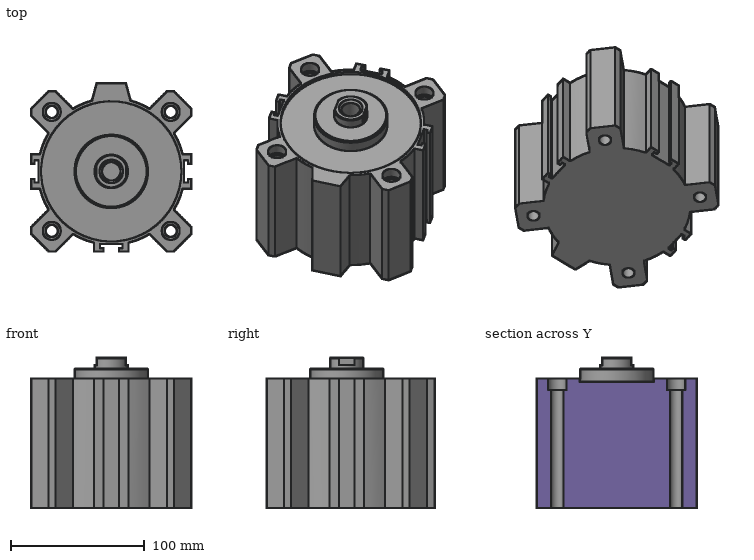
import cadquery as cq
import math

housing_height = 97.0
half_width = 60.0
barrel_radius = 55.0
recess_diameter = 105.0
recess_depth = 2.5

lug_width = 25.8
lug_reach = 75.5
bolt_spacing = 89.0
bolt_diameter = 9.0
counterbore_diameter = 13.5
counterbore_depth = 8.5

rail_width = 26.0
slot_mouth_width = 11.4
slot_inner_width = 16.5
slot_floor_radius = 54.5
lip_thickness = 2.6
rail_angles = (0, 180, 270)

block_reach = 66.0
block_top_width = 22.0
block_flank_angle = 15.0
block_root_overlap = 5.0

collar_diameter = 55.0
collar_height = 7.5
collar_chamfer = 1.0
collar_top = housing_height + collar_height

rod_diameter = 25.0
rod_top = 112.5
rod_bottom = 10.0
rod_chamfer = 0.5
flat_width = 22.0
flat_height = 5.5
thread_diameter = 13.84
thread_mouth_diameter = 17.5
thread_depth = 32.0
thread_chamfer = (thread_mouth_diameter - thread_diameter) / 2


def make_lugs():
    """Crossed diagonal bars, trimmed to the square outline of the housing."""
    square = cq.Workplane("XY").rect(2 * half_width, 2 * half_width).extrude(housing_height)
    bar = cq.Workplane("XY").rect(2 * lug_reach, lug_width).extrude(housing_height)
    axis_ends = ((0, 0, 0), (0, 0, 1))
    bars = bar.rotate(*axis_ends, 45).union(bar.rotate(*axis_ends, -45))
    return bars.intersect(square)


def make_rail_block():
    """Plain rail along +X, from the housing axis outwards."""
    return (
        cq.Workplane("XY")
        .rect(half_width, rail_width)
        .extrude(housing_height)
        .translate((half_width / 2, 0, 0))
    )


def make_rail_slot():
    """T-slot cutter along +X: a narrow mouth that opens into a wider channel."""
    lip_radius = half_width - lip_thickness
    mouth_half = slot_mouth_width / 2
    inner_half = slot_inner_width / 2
    return (
        cq.Workplane("XY")
        .moveTo(slot_floor_radius, -inner_half)
        .lineTo(lip_radius, -inner_half)
        .lineTo(lip_radius, -mouth_half)
        .lineTo(half_width, -mouth_half)
        .lineTo(half_width, mouth_half)
        .lineTo(lip_radius, mouth_half)
        .lineTo(lip_radius, inner_half)
        .lineTo(slot_floor_radius, inner_half)
        .close()
        .extrude(housing_height)
    )


def make_tapered_block():
    """Block on +Y that narrows outwards; its root lies inside the barrel."""
    top_half = block_top_width / 2
    root_y = barrel_radius - block_root_overlap
    root_half = top_half + (block_reach - root_y) * math.tan(math.radians(block_flank_angle))
    return (
        cq.Workplane("XY")
        .polyline([
            (-root_half, root_y),
            (root_half, root_y),
            (top_half, block_reach),
            (-top_half, block_reach),
        ])
        .close()
        .extrude(housing_height)
    )


def make_collar():
    """Collar that rises from the recess floor."""
    recess_floor = housing_height - recess_depth
    return (
        cq.Workplane("XY", origin=(0, 0, recess_floor))
        .circle(collar_diameter / 2)
        .extrude(collar_top - recess_floor)
        .faces(">Z")
        .chamfer(collar_chamfer)
    )


def make_housing():
    """Barrel with all its outer features, the bolt holes, the recess, the collar and the rod bore."""
    body = cq.Workplane("XY").circle(barrel_radius).extrude(housing_height)
    body = body.union(make_lugs()).union(make_tapered_block())
    rail = make_rail_block()
    slot = make_rail_slot()
    for angle in rail_angles:
        body = body.union(rail.rotate((0, 0, 0), (0, 0, 1), angle))
        body = body.cut(slot.rotate((0, 0, 0), (0, 0, 1), angle))
    body = (
        body.faces(">Z")
        .workplane(origin=(0, 0, housing_height))
        .rect(bolt_spacing, bolt_spacing, forConstruction=True)
        .vertices()
        .cboreHole(bolt_diameter, counterbore_diameter, counterbore_depth)
    )
    recess = (
        cq.Workplane("XY", origin=(0, 0, housing_height))
        .circle(recess_diameter / 2)
        .extrude(-recess_depth)
    )
    rod_bore = (
        cq.Workplane("XY", origin=(0, 0, rod_bottom))
        .circle(rod_diameter / 2)
        .extrude(collar_top - rod_bottom)
    )
    return body.cut(recess).union(make_collar()).cut(rod_bore)


def make_rod():
    """Rod with two wrench flats facing +X and -X and a blind threaded hole in its end."""
    rod = (
        cq.Workplane("XY", origin=(0, 0, rod_bottom))
        .circle(rod_diameter / 2)
        .extrude(rod_top - rod_bottom)
        .faces(">Z")
        .chamfer(rod_chamfer)
    )
    flat_cutter = (
        cq.Workplane("XY", origin=(0, 0, rod_top - flat_height))
        .rect(2 * rod_diameter, 2 * rod_diameter)
        .rect(flat_width, 2 * rod_diameter)
        .extrude(flat_height)
    )
    thread_hole = (
        cq.Workplane("XY", origin=(0, 0, rod_top))
        .circle(thread_diameter / 2)
        .extrude(-thread_depth)
    )
    thread_lead_in = cq.Workplane(
        cq.Solid.makeCone(
            thread_diameter / 2,
            thread_mouth_diameter / 2,
            thread_chamfer,
            pnt=cq.Vector(0, 0, rod_top - thread_chamfer),
        )
    )
    return rod.cut(flat_cutter).cut(thread_hole).cut(thread_lead_in)


housing = make_housing()
rod = make_rod()
result = cq.Compound.makeCompound([housing.val(), rod.val()])